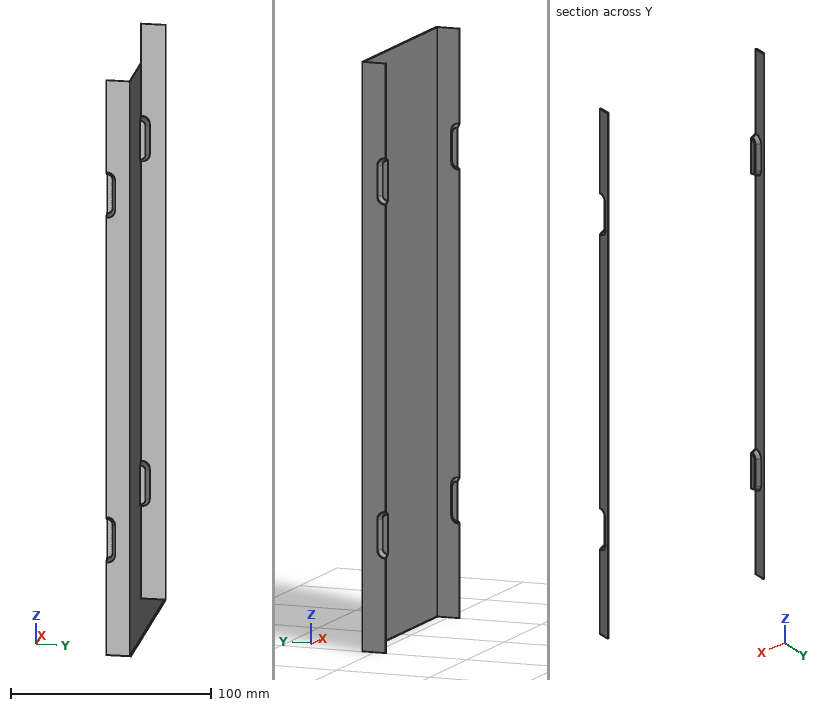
import cadquery as cq
import math

length = 300.0
width = 100.0
depth = 12.5
sheet = 0.75

recess_length = 23.7
recess_reach = 4.5
recess_corner = 4.2
press_depth = 2.85
wall_inset = 1.8
recess_heights = (60.0, 240.0)

wall_taper = math.degrees(math.atan2(wall_inset, press_depth))


def channel():
    """U-section with its free edges at Y = 0 and its back plate at the +Y side."""
    outer = cq.Workplane("XY").box(width, depth, length, centered=(True, False, False))
    cavity = cq.Workplane("XY").box(
        width - 2 * sheet, depth - sheet, length, centered=(True, False, False)
    )
    return outer.cut(cavity)


def press_form(height, start):
    """Tapered form on the -X flange, starting at a distance inside its outer face."""
    form = (
        cq.Workplane("YZ", origin=(start - width / 2, 0, height))
        .sketch()
        .rect(2 * recess_reach, recess_length)
        .vertices()
        .fillet(recess_corner)
        .finalize()
        .extrude(press_depth, taper=wall_taper)
    )
    keep = cq.Workplane("XY").box(width, depth, length, centered=(True, False, False))
    return form.intersect(keep)


def mirrored_pair(form):
    return form.union(form.mirror("YZ"))


result = channel()
for recess_height in recess_heights:
    result = result.union(mirrored_pair(press_form(recess_height, sheet)))
    result = result.cut(mirrored_pair(press_form(recess_height, 0)))